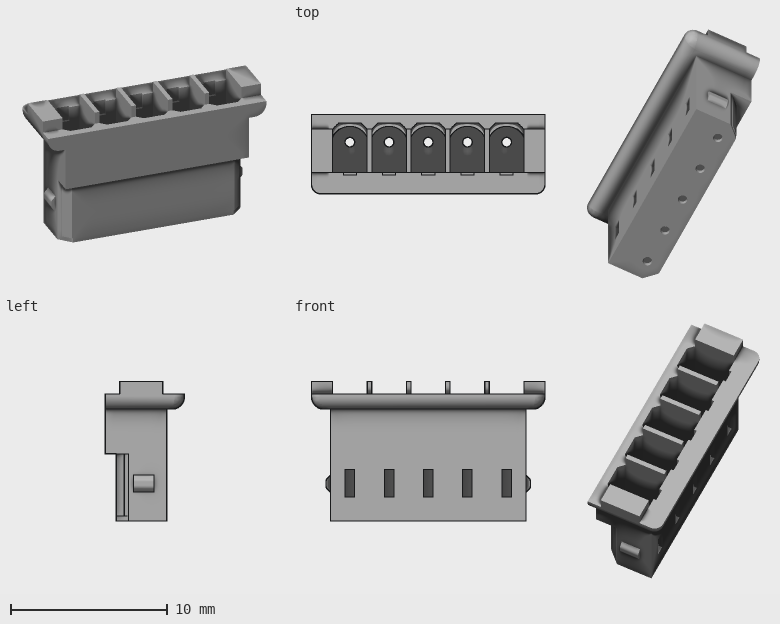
import cadquery as cq
import math

POSITIONS = 5
PITCH = 2.5
BODY_LENGTH = POSITIONS * PITCH
TOTAL_HEIGHT = 8.91
TAB_HEIGHT = 0.8
FLANGE_TOP = TOTAL_HEIGHT - TAB_HEIGHT

UPPER_BACK_Y = 3.94
LOWER_BACK_Y = 3.23
STEP_Z = 4.29
BACK_CHAMFER = 0.78
CORNER_PAD_THICKNESS = 0.06
CORNER_PAD_START_Y = 2.70

FLANGE_LENGTH = 14.9
FLANGE_DEPTH = 5.07
FLANGE_THICKNESS = 0.98
FLANGE_LIP = 0.18
FLANGE_UNDERSIDE_RADIUS = FLANGE_THICKNESS - FLANGE_LIP
FLANGE_CORNER_RADIUS = 0.6
FLANGE_FRONT_Y = UPPER_BACK_Y - FLANGE_DEPTH
FLANGE_BOTTOM = FLANGE_TOP - FLANGE_THICKNESS

CAVITY_WIDTH = 2.2
CAVITY_FRONT_Y = 0.25
CAVITY_ARC_RADIUS = 1.22
CAVITY_BACK_WALL = 0.05
CAVITY_ARC_TOP_Y = LOWER_BACK_Y - CAVITY_BACK_WALL
CAVITY_ARC_CENTER_Y = CAVITY_ARC_TOP_Y - CAVITY_ARC_RADIUS
CAVITY_FLOOR = 0.31
TAB_BACK_Y = 3.0
MOUTH_BACK_Y = 3.39
MOUTH_CHAMFER = MOUTH_BACK_Y - TAB_BACK_Y
MOUTH_FLOOR = 4.9
NOTCH_WIDTH = 0.83
NOTCH_DEPTH = 0.18
PIN_HOLE_DIAMETER = 0.6
PIN_HOLE_Y = 2.17

WINDOW_WIDTH = 0.6
WINDOW_BOTTOM = 1.53
WINDOW_TOP = 3.28
LATCH_FRONT_Y = 0.81
LATCH_BACK_Y = 2.11
LATCH_BOTTOM = 1.84
LATCH_TOP = 2.92
LATCH_PROTRUSION = 0.28
LATCH_TAPER = 0.29
LATCH_RADIUS = 0.3

POSITION_X = [(i - (POSITIONS - 1) / 2) * PITCH for i in range(POSITIONS)]


def box(x0, x1, y0, y1, z0, z1):
    return cq.Workplane("XY").box(x1 - x0, y1 - y0, z1 - z0, centered=False).translate((x0, y0, z0))


def mirrored_pair(shape):
    return shape.union(shape.mirror("YZ"))


def make_body():
    half = BODY_LENGTH / 2
    upper = box(-half, half, 0, UPPER_BACK_Y, STEP_Z, FLANGE_TOP)
    lower = box(-half, half, 0, LOWER_BACK_Y, 0, STEP_Z)
    lower = lower.edges("|Z and >Y").chamfer(BACK_CHAMFER)
    return upper.union(lower).union(mirrored_pair(make_corner_pad()))


def make_corner_pad():
    """Thin pad on the left back chamfer that backs up the end cavity."""
    start_x = -BODY_LENGTH / 2 + CORNER_PAD_START_Y - (LOWER_BACK_Y - BACK_CHAMFER)
    end_x = -BODY_LENGTH / 2 + BACK_CHAMFER
    offset = CORNER_PAD_THICKNESS / math.sqrt(2)
    outline = [
        (start_x, CORNER_PAD_START_Y),
        (start_x - offset, CORNER_PAD_START_Y + offset),
        (end_x - 2 * offset, LOWER_BACK_Y),
        (end_x, LOWER_BACK_Y),
    ]
    pad = cq.Workplane("XY", origin=(0, 0, CAVITY_FLOOR)).polyline(outline).close()
    return pad.extrude(STEP_Z - CAVITY_FLOOR)


def make_flange():
    half = FLANGE_LENGTH / 2
    flange = box(-half, half, FLANGE_FRONT_Y, UPPER_BACK_Y, FLANGE_BOTTOM, FLANGE_TOP)
    flange = flange.edges("|Z and <Y").fillet(FLANGE_CORNER_RADIUS)
    return flange.faces("<Z").edges("not >Y").fillet(FLANGE_UNDERSIDE_RADIUS)


def make_raised_walls():
    """Tabs at both ends and thin dividers between neighbouring cavities."""
    half = FLANGE_LENGTH / 2
    tab_inner_x = POSITION_X[-1] + CAVITY_WIDTH / 2
    bar = box(-half, half, CAVITY_FRONT_Y, TAB_BACK_Y, FLANGE_TOP, TOTAL_HEIGHT)
    opening = box(-tab_inner_x, tab_inner_x, CAVITY_FRONT_Y, TAB_BACK_Y, FLANGE_TOP, TOTAL_HEIGHT)
    walls = bar.cut(opening)
    divider_half = (PITCH - CAVITY_WIDTH) / 2
    for x in POSITION_X[:-1]:
        middle = x + PITCH / 2
        left, right = middle - divider_half, middle + divider_half
        divider = box(left, right, CAVITY_FRONT_Y, TAB_BACK_Y, FLANGE_TOP, TOTAL_HEIGHT)
        walls = walls.union(divider)
    return walls


def make_latch():
    """Left latch: a tapered ridge with rounded crests."""
    outer_x = -BODY_LENGTH / 2 - LATCH_PROTRUSION
    outline = [
        (-BODY_LENGTH / 2, LATCH_BOTTOM),
        (outer_x, LATCH_BOTTOM + LATCH_TAPER),
        (outer_x, LATCH_TOP - LATCH_TAPER),
        (-BODY_LENGTH / 2, LATCH_TOP),
    ]
    latch = cq.Workplane("XZ", origin=(0, LATCH_BACK_Y, 0)).polyline(outline).close()
    latch = latch.extrude(LATCH_BACK_Y - LATCH_FRONT_Y)
    return latch.edges("|Y and <X").fillet(LATCH_RADIUS)


def make_position_cut():
    """Everything removed at one contact position, centred on X = 0."""
    half = CAVITY_WIDTH / 2
    arc_end_y = CAVITY_ARC_CENTER_Y + math.sqrt(CAVITY_ARC_RADIUS**2 - half**2)
    cavity = (
        cq.Workplane("XY", origin=(0, 0, CAVITY_FLOOR))
        .moveTo(-half, CAVITY_FRONT_Y)
        .lineTo(half, CAVITY_FRONT_Y)
        .lineTo(half, arc_end_y)
        .threePointArc((0, CAVITY_ARC_TOP_Y), (-half, arc_end_y))
        .close()
        .extrude(FLANGE_TOP - CAVITY_FLOOR)
    )
    mouth = box(-half, half, CAVITY_FRONT_Y, MOUTH_BACK_Y, MOUTH_FLOOR, FLANGE_TOP)
    mouth = mouth.edges("|Z and >Y").chamfer(MOUTH_CHAMFER)
    notch_half = NOTCH_WIDTH / 2
    notch_front_y = CAVITY_FRONT_Y - NOTCH_DEPTH
    notch = box(-notch_half, notch_half, notch_front_y, CAVITY_FRONT_Y, FLANGE_BOTTOM, FLANGE_TOP)
    window_half = WINDOW_WIDTH / 2
    window = box(-window_half, window_half, 0, CAVITY_FRONT_Y, WINDOW_BOTTOM, WINDOW_TOP)
    pin_hole = cq.Workplane("XY").center(0, PIN_HOLE_Y).circle(PIN_HOLE_DIAMETER / 2).extrude(CAVITY_FLOOR)
    return cavity.union(mouth).union(notch).union(window).union(pin_hole)


result = make_body().union(make_flange()).union(make_raised_walls())
result = result.union(mirrored_pair(make_latch()))
position_cut = make_position_cut()
for position_x in POSITION_X:
    result = result.cut(position_cut.translate((position_x, 0, 0)))